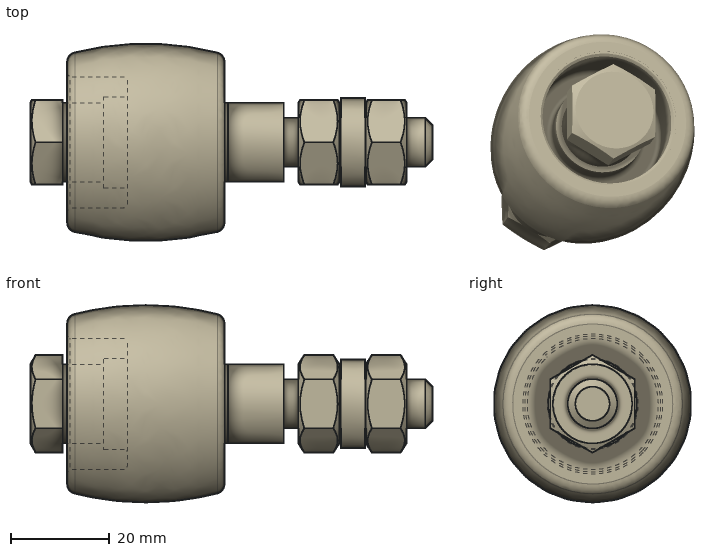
import cadquery as cq

head_end = 6.5
roller_start = 7.4
roller_end = 39.3
shank_end = 51.3
inner_nut_start = 54.2
inner_nut_end = 62.5
washer_start = 62.85
washer_end = 67.7
outer_nut_start = 67.9
outer_nut_end = 76.1
total_length = 81.4

shank_diameter = 16.0
shank_chamfer = 0.1
collar_end = roller_end + 0.65
thread_diameter = 10.0
tip_chamfer = 1.55
washer_diameter = 18.0
hex_across_corners = 19.8
hex_face_diameter = 16.0
head_chamfer_length = 1.05
nut_chamfer_length = 1.2

roller_diameter = 40.0
roller_end_radius = 17.75
roller_edge_fillet = 2.0

lip_radius = 14.2
lip_depth = 0.1
lip_chamfer_radius = 13.75
recess_radius = 13.3
recess_depth = 12.2
recess_fillet = 1.0
hub_radius = 9.2
hub_setback = 7.3


def cylinder(start, end, diameter):
    """Cylinder on the X axis between two stations."""
    return cq.Workplane("YZ", origin=(start, 0, 0)).circle(diameter / 2).extrude(end - start)


def hexagon(start, end, start_chamfer, end_chamfer):
    """Hexagonal prism with corners on +Z and -Z, its corners turned off conically."""
    prism = (
        cq.Workplane("YZ", origin=(start, 0, 0))
        .transformed(rotate=(0, 0, 90))
        .polygon(6, hex_across_corners)
        .extrude(end - start)
    )
    face_radius = hex_face_diameter / 2
    corner_radius = hex_across_corners / 2
    outline = [(start, 0)]
    if start_chamfer:
        outline.append((start, face_radius))
    outline.append((start + start_chamfer, corner_radius))
    outline.append((end - end_chamfer, corner_radius))
    if end_chamfer:
        outline.append((end, face_radius))
    outline.append((end, 0))
    envelope = cq.Workplane("XY").polyline(outline).close().revolve(360, (0, 0, 0), (1, 0, 0))
    return prism.intersect(envelope)


def make_roller():
    """Crowned roller with rounded ends and an annular recess around a hub on the head side."""
    body = (
        cq.Workplane("XY")
        .moveTo(roller_start, 0)
        .lineTo(roller_start, roller_end_radius)
        .threePointArc(((roller_start + roller_end) / 2, roller_diameter / 2), (roller_end, roller_end_radius))
        .lineTo(roller_end, 0)
        .close()
        .revolve(360, (0, 0, 0), (1, 0, 0))
        .edges("%CIRCLE")
        .fillet(roller_edge_fillet)
    )
    lip_floor = roller_start + lip_depth
    chamfer_end = lip_floor + lip_chamfer_radius - recess_radius
    recess_floor = roller_start + recess_depth
    recess = (
        cq.Workplane("XY")
        .moveTo(roller_start, lip_radius)
        .lineTo(lip_floor, lip_radius)
        .lineTo(lip_floor, lip_chamfer_radius)
        .lineTo(chamfer_end, recess_radius)
        .lineTo(recess_floor - recess_fillet, recess_radius)
        .radiusArc((recess_floor, recess_radius - recess_fillet), recess_fillet)
        .lineTo(recess_floor, hub_radius + recess_fillet)
        .radiusArc((recess_floor - recess_fillet, hub_radius), recess_fillet)
        .lineTo(roller_start + hub_setback, hub_radius)
        .lineTo(roller_start + hub_setback, shank_diameter / 2)
        .lineTo(roller_start, shank_diameter / 2)
        .close()
        .revolve(360, (0, 0, 0), (1, 0, 0))
    )
    return body.cut(recess)


def make_bolt():
    """Hex bolt: head, plain shank and reduced end with a chamfered tip."""
    head = hexagon(0, head_end, head_chamfer_length, 0)
    collar = cylinder(head_end, collar_end, shank_diameter)
    shank = cylinder(collar_end, shank_end, shank_diameter).faces("<X").chamfer(shank_chamfer)
    thread = cylinder(shank_end, total_length, thread_diameter).faces(">X").chamfer(tip_chamfer)
    return head.union(collar).union(shank).union(thread)


inner_nut = hexagon(inner_nut_start, inner_nut_end, nut_chamfer_length, nut_chamfer_length)
outer_nut = hexagon(outer_nut_start, outer_nut_end, nut_chamfer_length, nut_chamfer_length)
washer = cylinder(washer_start, washer_end, washer_diameter)

result = make_roller().union(make_bolt()).union(inner_nut).union(washer).union(outer_nut)